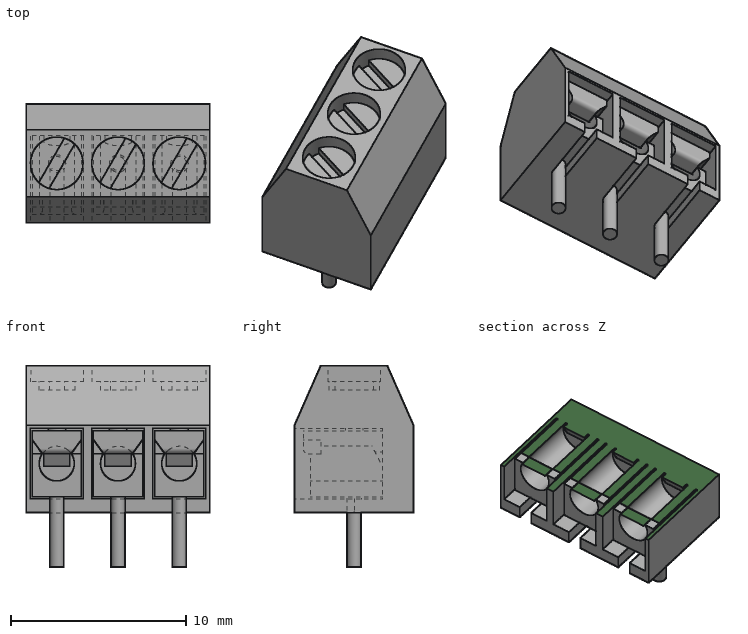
import cadquery as cq
import math

pole_count = 3
pole_pitch = 3.5
housing_length = 10.5
housing_depth = 6.8
total_height = 11.5
pin_length = 3.1
shoulder_height = 8.11
top_flat_depth = 3.81

well_diameter = 3.0
well_depth = 0.9
screw_slot_width = 0.68
screw_slot_depth = 0.5
screw_slot_angle = 60.0
screw_shank_diameter = 1.0

window_width = 3.0
window_height = 4.0
window_sill = 0.8
window_depth = 5.0
pin_diameter = 0.8

clamp_gap = 0.09
clamp_top_gap = 0.13
clamp_setback = 0.91
wire_hole_diameter = 2.0
wire_hole_height = 2.0

guard_setback = 0.5
guard_back_setback = 1.5
flange_thickness = 0.51
guard_drop = 1.32
guard_tip_width = 1.65
guard_bend_radius = 0.3

ramp_width = 1.5
ramp_foot_drop = 0.15
ramp_lean = 27.0

joint_overlap = 0.12

front_y = -housing_depth / 2
window_bottom = pin_length + window_sill
window_top = window_bottom + window_height
window_back_y = front_y + window_depth
well_floor = total_height - well_depth

clamp_width = window_width - 2 * clamp_gap
clamp_bottom = window_bottom + clamp_gap
clamp_top = window_top - clamp_top_gap
flange_bottom = clamp_top - flange_thickness
guard_bottom = clamp_top - guard_drop
guard_front_y = front_y + guard_setback
guard_back_y = front_y + guard_back_setback
clamp_front_y = front_y + clamp_setback
wire_hole_z = window_bottom + wire_hole_height
pole_positions = [(i - (pole_count - 1) / 2) * pole_pitch for i in range(pole_count)]


def block(width, y_front, y_back, z_bottom, z_top):
    """Box centred on X = 0 between the given Y and Z limits."""
    return (
        cq.Workplane("XY")
        .box(width, y_back - y_front, z_top - z_bottom, centered=(True, False, False))
        .translate((0, y_front, z_bottom))
    )


def make_housing():
    """Block with both long sides sloping inward above the shoulder."""
    half_depth = housing_depth / 2
    half_flat = top_flat_depth / 2
    outline = [
        (-half_depth, pin_length),
        (half_depth, pin_length),
        (half_depth, shoulder_height),
        (half_flat, total_height),
        (-half_flat, total_height),
        (-half_depth, shoulder_height),
    ]
    return (
        cq.Workplane("YZ")
        .polyline(outline)
        .close()
        .extrude(housing_length / 2, both=True)
    )


def make_screw_well():
    """Round well with the screwdriver slot sunk into its floor."""
    well = cq.Workplane("XY").workplane(offset=well_floor).circle(well_diameter / 2).extrude(well_depth)
    slot_bar = (
        cq.Workplane("XY")
        .workplane(offset=well_floor - screw_slot_depth)
        .transformed(rotate=(0, 0, screw_slot_angle))
        .rect(2 * well_diameter, screw_slot_width)
        .extrude(screw_slot_depth)
    )
    slot_limit = (
        cq.Workplane("XY")
        .workplane(offset=well_floor - screw_slot_depth)
        .circle(well_diameter / 2)
        .extrude(screw_slot_depth)
    )
    return well.union(slot_bar.intersect(slot_limit))


def make_window():
    """Window pocket with a slot through its sill that runs back to the pin."""
    pocket = block(window_width, front_y, window_back_y, window_bottom, window_top)
    sill_slot = block(pin_diameter, front_y, 0, pin_length, window_bottom)
    return pocket.union(sill_slot)


def make_guard():
    """Leaf that narrows toward its rounded lower front edge."""
    taper = (
        cq.Workplane("XZ", origin=(0, guard_front_y, 0))
        .polyline([
            (-clamp_width / 2, flange_bottom),
            (clamp_width / 2, flange_bottom),
            (guard_tip_width / 2, guard_bottom),
            (-guard_tip_width / 2, guard_bottom),
        ])
        .close()
        .extrude(guard_front_y - guard_back_y)
    )
    return taper.edges("<Y and <Z").fillet(guard_bend_radius)


def make_ramp():
    """Wedge on the end wall of the wire hole, leaning toward the entry as it rises."""
    foot_z = wire_hole_z - ramp_foot_drop
    head_z = wire_hole_z + wire_hole_diameter / 2
    reach = (head_z - foot_z) * math.tan(math.radians(ramp_lean))
    return (
        cq.Workplane("YZ")
        .polyline([(window_back_y, foot_z), (window_back_y, head_z), (window_back_y - reach, head_z)])
        .close()
        .extrude(ramp_width / 2, both=True)
    )


def make_clamp():
    """Clamp block with flange, wire hole, guard leaf and ramp."""
    jaw = block(clamp_width, clamp_front_y, window_back_y, clamp_bottom, guard_bottom)
    neck = block(clamp_width, guard_back_y, window_back_y, guard_bottom, flange_bottom)
    flange = block(clamp_width, guard_front_y, window_back_y, flange_bottom, clamp_top)
    wire_hole = (
        cq.Workplane("XZ", origin=(0, window_back_y, wire_hole_z))
        .circle(wire_hole_diameter / 2)
        .extrude(window_depth)
    )
    clamp = jaw.union(neck).union(flange).cut(wire_hole)
    return clamp.union(make_guard()).union(make_ramp())


def make_shank():
    """Screw shank bridging the gap between the window ceiling and the clamp."""
    return (
        cq.Workplane("XY")
        .workplane(offset=flange_bottom)
        .circle(screw_shank_diameter / 2)
        .extrude(window_top + joint_overlap - flange_bottom)
    )


def make_pin():
    """Solder pin reaching up into the clamp."""
    return cq.Workplane("XY").circle(pin_diameter / 2).extrude(clamp_bottom + joint_overlap)


pole_cutter = make_screw_well().union(make_window())
pole_insert = make_clamp().union(make_shank()).union(make_pin())

result = make_housing()
for x in pole_positions:
    result = result.cut(pole_cutter.translate((x, 0, 0)))
for x in pole_positions:
    result = result.union(pole_insert.translate((x, 0, 0)))